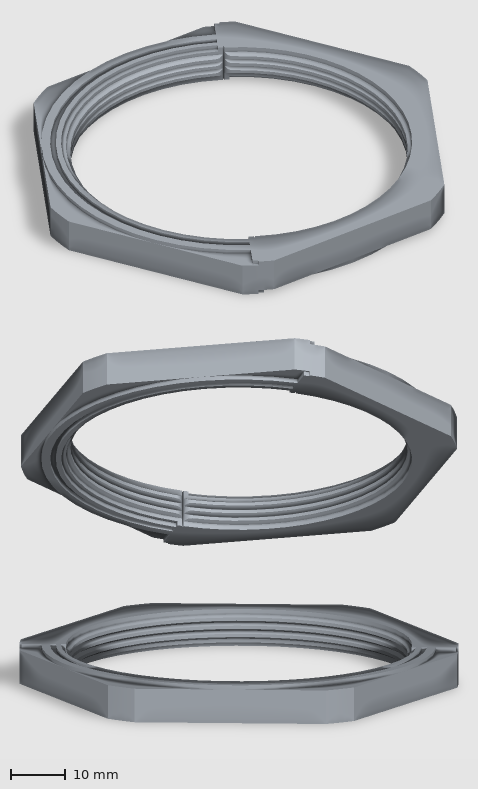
import cadquery as cq
import math


height = 7.0
across_flats = 72.0
corner_diameter = 80.0
split_angle = -30.0

minor_radius = 30.7
thread_depth = 0.8
major_radius = minor_radius + thread_depth
thread_pitch = 1.5
crest_count = 3
flank_angle = 30.0
flank_height = thread_depth * math.tan(math.radians(flank_angle))
crest_length = thread_pitch - 2 * flank_height
first_crest = 1.4

relief_depth = 0.8
body_top = height - relief_depth
inner_ring_radii = (32.4, 33.35)
outer_ring_radii = (34.4, 36.0)

tongue_length = 1.0
tongue_inset = 0.4
lip_rounding = 1.5


def ring(inner_radius, outer_radius, bottom, top):
    """Plain ring between two radii and two heights."""
    outline = cq.Workplane("XY").workplane(offset=bottom).circle(outer_radius).circle(inner_radius)
    return outline.extrude(top - bottom)


def hexagon_blank():
    """Hexagonal plate with its corners turned round."""
    across_corners = across_flats / math.cos(math.pi / 6)
    hexagon = cq.Workplane("XY").polygon(6, across_corners).extrude(height)
    return hexagon.intersect(cq.Workplane("XY").circle(corner_diameter / 2).extrude(height))


def threaded_bore():
    """Bore of one half: a plain counterbore at each end and ring-shaped thread crests between them."""
    points = [(0, 0), (major_radius, 0)]
    for index in range(crest_count):
        crest_start = first_crest + index * thread_pitch
        crest_end = crest_start + crest_length
        points.append((major_radius, crest_start - flank_height))
        points.append((minor_radius, crest_start))
        points.append((minor_radius, crest_end))
    points.append((major_radius, crest_end + flank_height))
    points += [(major_radius, body_top), (0, body_top)]
    return cq.Workplane("XZ").polyline(points).close().revolve(360, (0, 0, 0), (0, 1, 0))


def half_nut():
    """Half on the -Y side, with a tongue reaching past the split at its base."""
    width = corner_diameter
    body = cq.Workplane("XY").box(width, width / 2, height, centered=(True, False, False))
    body = body.translate((0, -width / 2, 0))
    tongue = cq.Workplane("XY").box(width, tongue_length, relief_depth, centered=(True, False, False))
    tongue = tongue.intersect(cq.Workplane("XY").circle(corner_diameter / 2 - tongue_inset).extrude(relief_depth))
    section = cq.Workplane("XY").circle(corner_diameter / 2).extrude(body_top).cut(threaded_bore())
    section = section.union(ring(*inner_ring_radii, body_top, height))
    section = section.union(ring(*outer_ring_radii, body_top, height))
    return section.intersect(hexagon_blank()).intersect(body.union(tongue))


def joint_notches():
    """Cusps in the bore where the rounded lips of the two halves meet."""
    tip = minor_radius + lip_rounding
    notch = (
        cq.Workplane("XY")
        .moveTo(tip, 0)
        .radiusArc((minor_radius, lip_rounding), lip_rounding)
        .lineTo(minor_radius - lip_rounding, lip_rounding)
        .lineTo(minor_radius - lip_rounding, -lip_rounding)
        .lineTo(minor_radius, -lip_rounding)
        .radiusArc((tip, 0), lip_rounding)
        .close()
        .extrude(height)
    )
    return notch.union(notch.mirror("YZ"))


lower_half = half_nut()
upper_half = lower_half.rotate((0, 0, height / 2), (1, 0, height / 2), 180)
nut = lower_half.union(upper_half).cut(joint_notches())
result = nut.rotate((0, 0, 0), (0, 0, 1), split_angle)